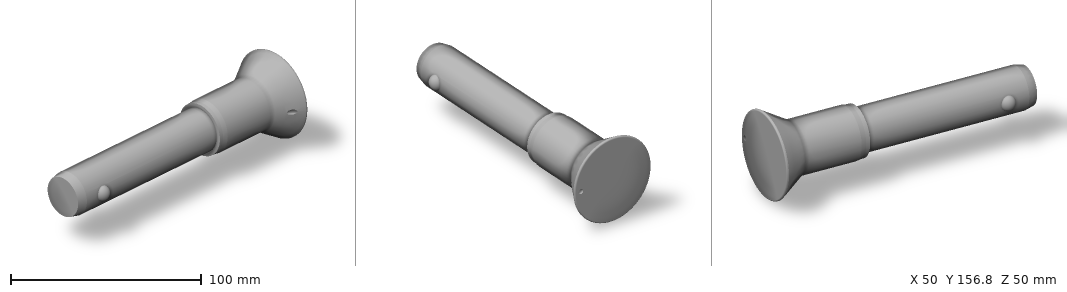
import cadquery as cq
import math

length = 156.8

head_radius = 50.0 / 2
rim_thickness = 1.3
rim_rounding = 0.8
flare_length = 14.6
blend_length = 2.4
blend_radius = 4.5

body_radius = 15.4
body_length = 31.7
taper_length = 3.0
lip_radius = 14.9
lip_length = 2.4

shank_radius = 25.0 / 2
tip_radius = 11.3
tip_length = 5.3

ball_radius = 4.4
ball_reach = 15.5
ball_position = 17.7

hole_diameter = 3.0
hole_offset = 21.0

rim_start = length - rim_thickness
flare_start = rim_start - flare_length
body_top = flare_start - blend_length
body_bottom = body_top - body_length
taper_bottom = body_bottom - taper_length
shank_top = taper_bottom - lip_length


def make_turned_body():
    """Half profile (radius, Y) revolved about the pin axis."""
    blend_angle = math.asin(blend_length / blend_radius)
    half_angle = blend_angle / 2
    blend_middle = (
        body_radius + blend_radius * (1 - math.cos(half_angle)),
        body_top + blend_radius * math.sin(half_angle),
    )
    blend_end = (body_radius + blend_radius * (1 - math.cos(blend_angle)), flare_start)
    turned = (
        cq.Workplane("XY")
        .lineTo(tip_radius, 0)
        .lineTo(shank_radius, tip_length)
        .lineTo(shank_radius, shank_top)
        .lineTo(lip_radius, shank_top)
        .lineTo(lip_radius, taper_bottom)
        .lineTo(body_radius, body_bottom)
        .lineTo(body_radius, body_top)
        .threePointArc(blend_middle, blend_end)
        .lineTo(head_radius, rim_start)
        .lineTo(head_radius, length)
        .lineTo(0, length)
        .close()
        .revolve(360, (0, 0, 0), (0, 1, 0))
    )
    return turned.faces(">Y").edges().fillet(rim_rounding)


def make_ball(side):
    """Locking ball protruding on the given side (-1 or 1) along X."""
    center_x = side * (ball_reach - ball_radius)
    return cq.Workplane("XY").sphere(ball_radius).translate((center_x, ball_position, 0))


def make_lanyard_hole():
    """Cutter parallel to the pin axis, reaching only through the head."""
    return (
        cq.Workplane("XZ", origin=(hole_offset, length, 0))
        .circle(hole_diameter / 2)
        .extrude(length - flare_start)
    )


result = make_turned_body()
for side in (-1, 1):
    result = result.union(make_ball(side))
result = result.cut(make_lanyard_hole())